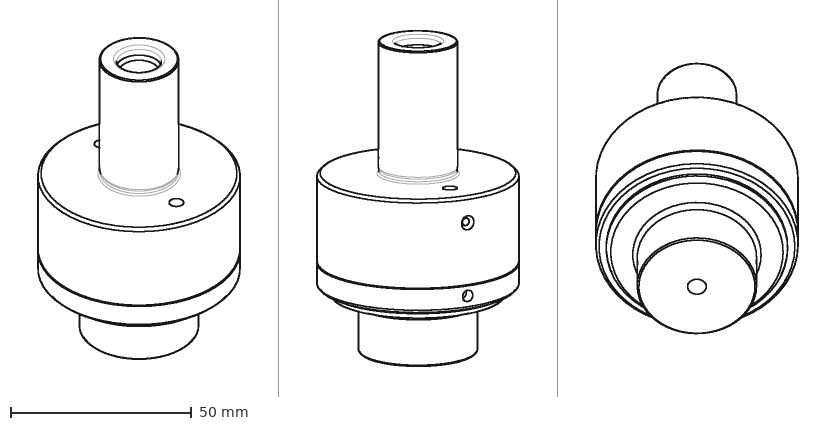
import cadquery as cq
import math

total_height = 89.0
head_top = 51.1
head_bottom = 18.5
seam_height = 25.5
flange_bottom = 16.0

head_dia = 56.0
head_chamfer = 0.9
seam_width = 0.3
seam_depth = 0.2
flange_dia = 50.2
flange_chamfer_width = 1.25
flange_chamfer_height = 1.6
spigot_dia = 33.0
spigot_chamfer = 0.45
shaft_dia = 22.0
shaft_chamfer = 0.4

seal_section_dia = 2.5

relief_dia = 21.7
relief_fillet = 0.5
relief_taper_start = 52.4
relief_top = 52.95

mouth_fillet = 0.9
pilot_dia = 12.5
pilot_depth = 2.85
bore_dia = 11.0
pilot_cone_angle = 60
bore_depth = 26.7
lower_bore_dia = 8.3
lower_bore_depth = 44.5
lower_bore_chamfer = 0.4
through_dia = 5.2

pin_hole_dia = 4.0
pin_hole_depth = 8.0
pin_hole_offset = 18.0

screw_height = 43.5
screw_mouth_dia = 4.0
screw_hole_dia = 2.1
countersink_depth = 1.2
screw_hole_depth = 4.45
drill_hole_height = 22.5
drill_hole_dia = 3.2
drill_hole_depth = 3.6
drill_tip_angle = 118


def cone_height(radius_change, included_angle):
    """Axial length of a cone over which the radius changes by the given amount."""
    return radius_change / math.tan(math.radians(included_angle / 2))


def revolve_about_z(profile):
    """Revolve a closed radius-height outline about the Z axis."""
    return profile.close().revolve(360, (0, 0, 0), (0, 1, 0))


def outer_body():
    """Spigot, seal ring, flange, head and shaft as one revolved outline."""
    spigot_r = spigot_dia / 2
    seal_r = seal_section_dia / 2
    flange_r = flange_dia / 2
    head_r = head_dia / 2
    shaft_r = shaft_dia / 2
    relief_r = relief_dia / 2
    profile = (
        cq.Workplane("XZ")
        .moveTo(0, 0)
        .lineTo(spigot_r - spigot_chamfer, 0)
        .lineTo(spigot_r, spigot_chamfer)
        .lineTo(spigot_r, flange_bottom - seal_section_dia)
        .threePointArc((spigot_r + seal_r, flange_bottom - seal_r), (spigot_r, flange_bottom))
        .lineTo(flange_r - flange_chamfer_width, flange_bottom)
        .lineTo(flange_r, flange_bottom + flange_chamfer_height)
        .lineTo(flange_r, head_bottom)
        .lineTo(head_r - head_chamfer, head_bottom)
        .lineTo(head_r, head_bottom + head_chamfer)
        .lineTo(head_r, seam_height - seam_width / 2)
        .lineTo(head_r - seam_depth, seam_height - seam_width / 2)
        .lineTo(head_r - seam_depth, seam_height + seam_width / 2)
        .lineTo(head_r, seam_height + seam_width / 2)
        .lineTo(head_r, head_top - head_chamfer)
        .lineTo(head_r - head_chamfer, head_top)
        .lineTo(relief_r + relief_fillet, head_top)
        .radiusArc((relief_r, head_top + relief_fillet), relief_fillet)
        .lineTo(relief_r, relief_taper_start)
        .lineTo(shaft_r, relief_top)
        .lineTo(shaft_r, total_height - shaft_chamfer)
        .lineTo(shaft_r - shaft_chamfer, total_height)
        .lineTo(0, total_height)
    )
    return revolve_about_z(profile)


def stepped_bore():
    """Cutter for the rounded mouth, pilot, deep bore, lower bore and through hole."""
    pilot_r = pilot_dia / 2
    bore_r = bore_dia / 2
    lower_r = lower_bore_dia / 2
    through_r = through_dia / 2
    pilot_floor = total_height - pilot_depth
    pilot_cone_height = cone_height(pilot_r - bore_r, pilot_cone_angle)
    bore_floor = total_height - bore_depth
    lower_floor = total_height - lower_bore_depth
    profile = (
        cq.Workplane("XZ")
        .moveTo(0, 0)
        .lineTo(through_r, 0)
        .lineTo(through_r, lower_floor)
        .lineTo(lower_r, lower_floor)
        .lineTo(lower_r, bore_floor - lower_bore_chamfer)
        .lineTo(lower_r + lower_bore_chamfer, bore_floor)
        .lineTo(bore_r, bore_floor)
        .lineTo(bore_r, pilot_floor - pilot_cone_height)
        .lineTo(pilot_r, pilot_floor)
        .lineTo(pilot_r, total_height - mouth_fillet)
        .radiusArc((pilot_r + mouth_fillet, total_height), mouth_fillet)
        .lineTo(0, total_height)
    )
    return revolve_about_z(profile)


def pin_holes():
    """Cutter for the two blind holes in the top face of the head."""
    return (
        cq.Workplane("XY", origin=(0, 0, head_top - pin_hole_depth))
        .pushPoints([(-pin_hole_offset, 0), (pin_hole_offset, 0)])
        .circle(pin_hole_dia / 2)
        .extrude(pin_hole_depth)
    )


def radial_cone(height, start_depth, length, mouth_dia, tip_dia):
    """Cone narrowing inward along +X from a depth below the head's outer surface."""
    start = cq.Vector(start_depth - head_dia / 2, 0, height)
    return cq.Solid.makeCone(mouth_dia / 2, tip_dia / 2, length, start, cq.Vector(1, 0, 0))


def radial_hole(height, dia, depth):
    """Cylinder running inward along +X from the head's outer surface."""
    return cq.Workplane("YZ", origin=(-head_dia / 2, 0, height)).circle(dia / 2).extrude(depth)


def screw_hole():
    """Cutter for the countersunk radial hole."""
    hole = radial_hole(screw_height, screw_hole_dia, screw_hole_depth)
    countersink = radial_cone(screw_height, 0, countersink_depth, screw_mouth_dia, screw_hole_dia)
    return hole.union(countersink)


def drill_hole():
    """Cutter for the blind radial hole with a drill-point floor in the cover ring."""
    tip_length = cone_height(drill_hole_dia / 2, drill_tip_angle)
    hole = radial_hole(drill_hole_height, drill_hole_dia, drill_hole_depth)
    tip = radial_cone(drill_hole_height, drill_hole_depth, tip_length, drill_hole_dia, 0)
    return hole.union(tip)


result = (
    outer_body()
    .cut(stepped_bore())
    .cut(pin_holes())
    .cut(screw_hole())
    .cut(drill_hole())
)